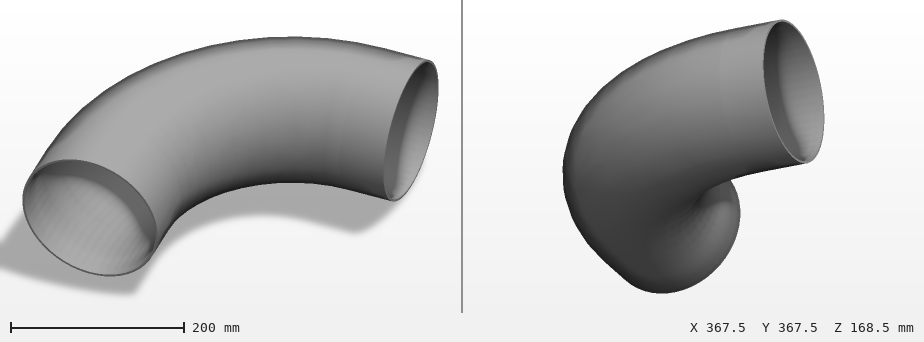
import cadquery as cq

overall_length = 367.5
outer_diameter = 168.5
inner_diameter = 163.2
straight_length = 55.0
bend_angle = 90.0

bend_radius = overall_length - straight_length - outer_diameter / 2


def elbow(diameter):
    """Solid round bar: straight along +Y, bent towards +X, then straight along +X."""
    inlet = cq.Workplane("XZ").circle(diameter / 2).extrude(-straight_length)

    bend = (
        cq.Workplane("XZ", origin=(0, straight_length, 0))
        .circle(diameter / 2)
        .revolve(bend_angle, (bend_radius, 3.5, 0), (bend_radius, 0, 0))
    )

    outlet = (
        cq.Workplane("YZ", origin=(bend_radius, straight_length + bend_radius, 0))
        .circle(diameter / 2)
        .extrude(straight_length)
    )
    return inlet.union(bend).union(outlet)


result = elbow(outer_diameter).cut(elbow(inner_diameter))